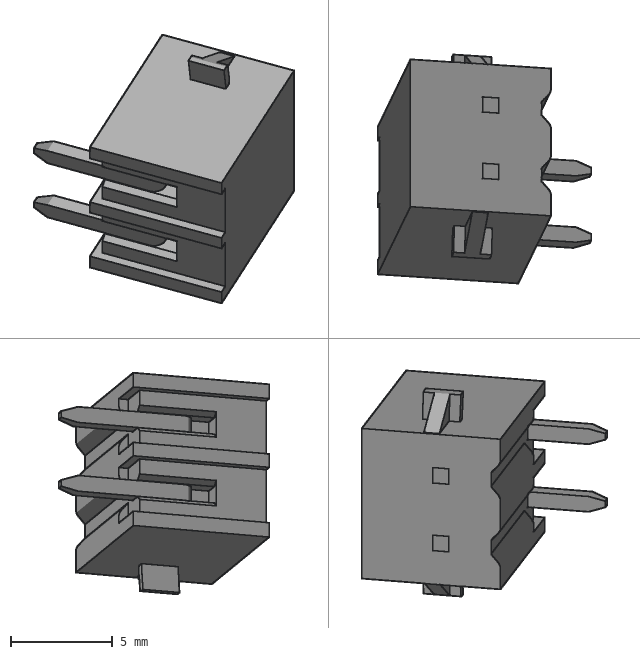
import cadquery as cq
import math


housing_width = 7.0
housing_depth = 9.2
housing_height = 7.77
overall_height = 10.5
cell_pitch = 3.5
cell_height = 2.81
cell_centers = [-cell_pitch / 2, cell_pitch / 2]
recess = 0.47
left_recess_length = 2.31

groove_floor_half = 0.35
groove_flank_angle = math.radians(41.5)
groove_edge_radius = 0.47

pin_size = 0.8
pin_front = 0.81
pin_reach = 3.39
pin_tip_length = 0.8
pin_tip_depth = 0.42
pin_tip_height = 0.33
pin_bend_end = 3.41
pin_bend_radius = 0.6
pin_back = pin_front + pin_size

slot_end = 4.42
slot_mouth_height = 1.29
slot_throat = 0.79
slot_depth = 1.66
slot_height = 0.83

latch_height = (overall_height - housing_height) / 2
latch_center = housing_width / 2
latch_rib_width = 0.79
latch_blade_width = 1.89
latch_blade_thickness = 0.47
latch_foot_height = 0.23
latch_lean = 0.21
latch_front = housing_depth - 2.79
latch_rib_start = housing_depth - 0.14
latch_crest = housing_depth - 2.36
latch_crest_radius = 0.45


def box(x0, x1, y0, y1, z0, z1):
    return cq.Workplane("XY").box(x1 - x0, y1 - y0, z1 - z0, centered=False).translate((x0, y0, z0))


def cell_recess(z):
    """L-shaped step that sets a cell back from the front and left faces."""
    bottom = z - cell_height / 2
    top = z + cell_height / 2
    front_step = box(0, housing_width, 0, recess, bottom, top)
    left_step = box(0, recess, 0, left_recess_length, bottom, top)
    return front_step.union(left_step)


def lead_in_groove(z):
    """Groove with a flat floor, sloped flanks and rounded mouth edges, open at the back."""
    arc_depth = groove_edge_radius * (1 - math.cos(groove_flank_angle))
    arc_start = groove_floor_half + (recess - arc_depth) / math.tan(groove_flank_angle)
    mouth_half = arc_start + groove_edge_radius * math.sin(groove_flank_angle)
    half_angle = groove_flank_angle / 2
    middle_depth = groove_edge_radius * (1 - math.cos(half_angle))
    middle_half = mouth_half - groove_edge_radius * math.sin(half_angle)
    return (
        cq.Workplane("XZ", origin=(0, housing_depth, z))
        .moveTo(0, mouth_half)
        .threePointArc((middle_depth, middle_half), (arc_depth, arc_start))
        .lineTo(recess, groove_floor_half)
        .lineTo(recess, -groove_floor_half)
        .lineTo(arc_depth, -arc_start)
        .threePointArc((middle_depth, -middle_half), (0, -mouth_half))
        .close()
        .extrude(housing_depth - left_recess_length)
    )


def pin_slot(z):
    """Slot behind the cell front, with a flared mouth."""
    return (
        cq.Workplane("YZ", origin=(0, 0, z))
        .polyline([
            (recess, -slot_mouth_height / 2),
            (slot_throat, -slot_height / 2),
            (slot_depth, -slot_height / 2),
            (slot_depth, slot_height / 2),
            (slot_throat, slot_height / 2),
            (recess, slot_mouth_height / 2),
        ])
        .close()
        .extrude(slot_end)
    )


def make_latch():
    """Top latch: a wide blade leaning forward, backed by a narrow sloping rib."""
    latch_base = housing_height / 2
    side = (
        cq.Workplane("YZ", origin=(latch_center, 0, latch_base))
        .polyline([
            (latch_front + latch_lean, 0),
            (latch_front + latch_lean, latch_foot_height),
            (latch_front, latch_height),
            (latch_crest, latch_height),
            (latch_rib_start, 0),
        ])
        .close()
    )
    crest_point = (latch_center, latch_crest, latch_base + latch_height)
    wedge = (
        side.extrude(latch_blade_width / 2, both=True)
        .edges("|X")
        .edges(cq.selectors.NearestToPointSelector(crest_point))
        .fillet(latch_crest_radius)
    )
    blade_band = (
        cq.Workplane("YZ", origin=(latch_center, 0, latch_base))
        .polyline([
            (latch_front + latch_lean, 0),
            (latch_front + latch_lean, latch_foot_height),
            (latch_front, latch_height),
            (latch_front + latch_blade_thickness, latch_height),
            (latch_front + latch_lean + latch_blade_thickness, latch_foot_height),
            (latch_front + latch_lean + latch_blade_thickness, 0),
        ])
        .close()
        .extrude(latch_blade_width / 2, both=True)
    )
    rib_band = box(
        latch_center - latch_rib_width / 2, latch_center + latch_rib_width / 2,
        latch_front, latch_rib_start, latch_base, latch_base + latch_height,
    )
    return wedge.intersect(blade_band).union(wedge.intersect(rib_band))


def make_pin(z):
    """Square pin: a tapered tip, a leg along X, a bend and a leg to the back face."""
    shank_start = -pin_reach + pin_tip_length
    leg_left = pin_bend_end - pin_size
    arc_inset = pin_bend_radius * (1 - math.sqrt(0.5))
    shank = (
        cq.Workplane("XY", origin=(0, 0, z - pin_size / 2))
        .moveTo(shank_start, pin_front)
        .lineTo(pin_bend_end - pin_bend_radius, pin_front)
        .threePointArc(
            (pin_bend_end - arc_inset, pin_front + arc_inset),
            (pin_bend_end, pin_front + pin_bend_radius),
        )
        .lineTo(pin_bend_end, housing_depth)
        .lineTo(leg_left, housing_depth)
        .lineTo(leg_left, pin_back)
        .lineTo(shank_start, pin_back)
        .close()
        .extrude(pin_size)
    )
    tip = (
        cq.Workplane("YZ", origin=(-pin_reach, pin_front + pin_size / 2, z))
        .rect(pin_tip_depth, pin_tip_height)
        .workplane(offset=pin_tip_length)
        .rect(pin_size, pin_size)
        .loft(ruled=True)
    )
    return shank.union(tip)


def make_housing(pins):
    """Block with two cells, a latch on top and below, and a hole fitting each pin."""
    half_height = housing_height / 2
    body = box(0, housing_width, 0, housing_depth, -half_height, half_height)
    for z in cell_centers:
        body = body.cut(cell_recess(z)).cut(lead_in_groove(z)).cut(pin_slot(z))
    top_latch = make_latch()
    body = body.union(top_latch).union(top_latch.mirror("XY"))
    for pin in pins:
        body = body.cut(pin)
    return body


pins = [make_pin(z) for z in cell_centers]
housing = make_housing(pins)

result = cq.Compound.makeCompound([housing.val(), *[pin.val() for pin in pins]])